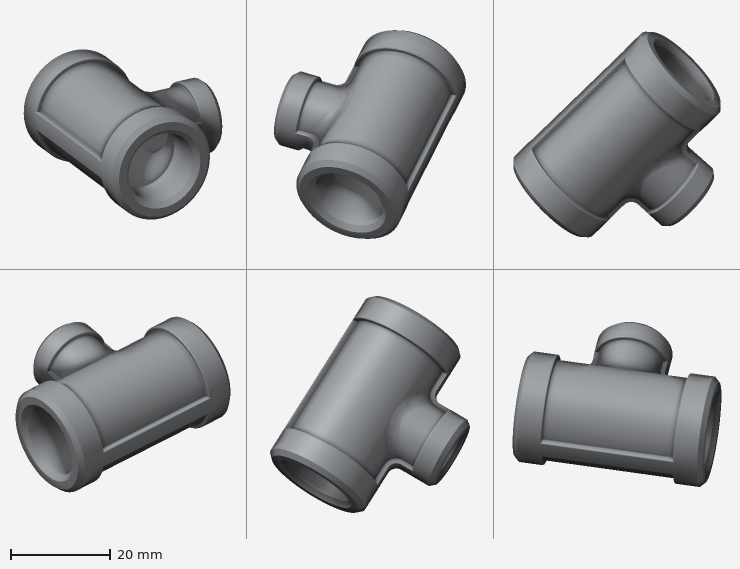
import cadquery as cq

run_length = 39.0
run_radius = 22.5 / 2
run_core_radius = 10.2
run_bore_radius = 14.95 / 2
run_relief_radius = 17.5 / 2
run_relief_length = 21.0
run_collar_length = 6.0
run_chamfer = 1.0
run_mouth_chamfer = 1.0

overall_depth = 31.75
branch_radius = 15.5 / 2
branch_core_radius = 6.82
branch_bore_radius = 8.58 / 2
branch_relief_radius = 10.5 / 2
branch_thread_length = 6.25
branch_collar_length = 5.0
branch_chamfer_length = 1.0
branch_chamfer_width = 0.85
branch_mouth_chamfer = 0.75

rib_half_width = 2.0
branch_rib_reach = 7.65

core_blend_radius = 3.0
rib_blend_radius = 2.0
edge_radius = 0.25

run_half = run_length / 2
run_shoulder = run_half - run_collar_length
branch_end = overall_depth - run_radius
branch_shoulder = branch_end - branch_collar_length
rim_end = branch_shoulder + edge_radius
rib_half_length = run_shoulder + edge_radius

collar_overlap = 0.4
tolerance = 0.005


def run_cylinder(radius, half_length):
    return cq.Workplane("YZ").circle(radius).extrude(half_length, both=True)


def branch_cylinder(radius, end):
    return cq.Workplane("XZ").circle(radius).extrude(-end)


def rib_slab(y_low, y_high):
    """Block as thick as the ribs, between two Y places."""
    slab = cq.Workplane("XY").box(
        run_length, y_high - y_low, 2 * rib_half_width, centered=(True, False, True)
    )
    return slab.translate((0, y_low, 0))


def turn_along_run(solid, side):
    """Turn a solid built along +Z so that it points outward along the run."""
    return solid.rotate((0, 0, 0), (0, 1, 0), side * 90)


def turn_along_branch(solid):
    """Turn a solid built along +Z so that it lies along +Y."""
    return solid.rotate((0, 0, 0), (1, 0, 0), -90)


def make_core():
    run = run_cylinder(run_core_radius, run_shoulder + collar_overlap)
    branch = branch_cylinder(branch_core_radius, branch_shoulder + collar_overlap)
    junction = cq.selectors.BoxSelector(
        (-run_core_radius, tolerance, -run_core_radius),
        (run_core_radius, run_core_radius + tolerance, run_core_radius),
    )
    return run.union(branch).edges(junction).fillet(core_blend_radius)


def collar(radius, length, chamfer_length, chamfer_width):
    """Collar along +Z, from its rim at Z = 0 to its chamfered end face."""
    solid = cq.Workplane("XY").circle(radius).extrude(length)
    solid = solid.faces("<Z").edges().fillet(edge_radius)
    return solid.faces(">Z").edges().chamfer(chamfer_length, chamfer_width)


def run_collar(side):
    solid = collar(run_radius, run_collar_length, run_chamfer, run_chamfer)
    return turn_along_run(solid, side).translate((side * run_shoulder, 0, 0))


def branch_collar():
    """Branch collar; its rim stays square where the ribs meet it."""
    solid = collar(branch_radius, branch_collar_length, branch_chamfer_length, branch_chamfer_width)
    solid = turn_along_branch(solid).translate((0, branch_shoulder, 0))
    square_rim = branch_cylinder(branch_radius, rim_end).intersect(rib_slab(branch_shoulder, rim_end))
    return solid.union(square_rim)


def back_rib():
    """Rib on the -Y side of the run, with rounded long edges."""
    rib = run_cylinder(run_radius, rib_half_length).intersect(rib_slab(-run_radius, 0))
    crest = cq.selectors.BoxSelector(
        (-tolerance, -run_radius, -run_radius),
        (tolerance, -run_core_radius, run_radius),
    )
    return rib.edges(crest).fillet(edge_radius)


def branch_ribs():
    """Ribs on the +Y side that bend from the run onto both sides of the branch."""
    along_run = run_cylinder(run_radius, rib_half_length).intersect(rib_slab(0, branch_end))
    along_branch = rib_slab(0, rim_end)
    crown_offset = run_radius - branch_rib_reach
    for side in (-1, 1):
        crown = branch_cylinder(run_radius, rim_end).translate((side * crown_offset, 0, 0))
        along_branch = along_branch.intersect(crown)
    bends = cq.selectors.BoxSelector(
        (-branch_rib_reach - tolerance, run_core_radius, -rib_half_width + tolerance),
        (branch_rib_reach + tolerance, run_radius + tolerance, rib_half_width - tolerance),
    )
    return along_run.union(along_branch).edges(bends).fillet(rib_blend_radius)


def is_root(edge, core):
    """True for an edge where a rib side or a collar shoulder meets the core."""
    point = edge.positionAt(0.4)
    on_core = cq.Vertex.makeVertex(*point.toTuple()).distance(core.val()) < tolerance
    on_rib_side = abs(abs(point.z) - rib_half_width) < tolerance
    on_shoulder = (
        abs(abs(point.x) - run_shoulder) < tolerance
        or abs(point.y - branch_shoulder) < tolerance
    )
    return on_core and (on_rib_side or on_shoulder)


def mouth_cone(radius, depth):
    """Cone along +Z that widens a bore to the radius plus the depth, at Z = depth."""
    outline = [(0, 0), (radius, 0), (radius + depth, depth), (0, depth)]
    return cq.Workplane("XZ").polyline(outline).close().revolve(360, (0, 0), (0, 1))


def cut_run_bore(solid):
    solid = solid.cut(run_cylinder(run_bore_radius, run_half))
    solid = solid.cut(run_cylinder(run_relief_radius, run_relief_length / 2))
    cone = mouth_cone(run_bore_radius, run_mouth_chamfer)
    for side in (-1, 1):
        mouth = turn_along_run(cone, side).translate((side * (run_half - run_mouth_chamfer), 0, 0))
        solid = solid.cut(mouth)
    return solid


def cut_branch_bore(solid):
    solid = solid.cut(branch_cylinder(branch_bore_radius, branch_end))
    solid = solid.cut(branch_cylinder(branch_relief_radius, branch_end - branch_thread_length))
    cone = mouth_cone(branch_bore_radius, branch_mouth_chamfer)
    return solid.cut(turn_along_branch(cone).translate((0, branch_end - branch_mouth_chamfer, 0)))


core = make_core()
body = core.union(branch_ribs()).union(back_rib())
body = body.union(run_collar(-1)).union(run_collar(1)).union(branch_collar())
roots = [edge for edge in body.edges().vals() if is_root(edge, core)]
body = body.newObject(roots).fillet(edge_radius)
result = cut_branch_bore(cut_run_bore(body))